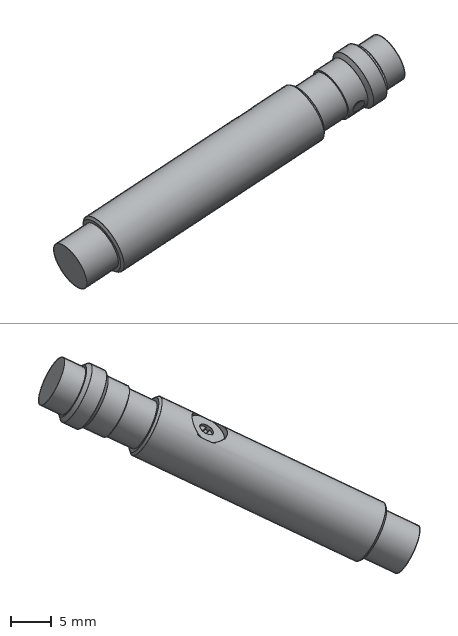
import cadquery as cq

LENGTH = 49.9
END_Y = LENGTH / 2
CORE_DIAMETER = 6.5
OUTER_DIAMETER = 8.0
OUTER_RADIUS = OUTER_DIAMETER / 2

BODY_START_Y = -END_Y + 4.95
BODY_LENGTH = 32.0
BODY_CHAMFER = 0.3

COLLAR_END_Y = END_Y - 2.95
COLLAR_LENGTH = 3.05
COLLAR_CHAMFER = 0.5
SLEEVE_DIAMETER = 7.0
SLEEVE_START_Y = END_Y - 9.0

BUTTON_DIAMETER = 1.8
BUTTON_Y = END_Y - 7.45
BUTTON_HEIGHT = 0.25

POCKET_Y = END_Y - 19.95
POCKET_DIAMETER = 5.0
POCKET_DEPTH = 0.8
POCKET_FLOOR_X = -OUTER_RADIUS + POCKET_DEPTH
SCREW_HOLE_DIAMETER = 1.9
SCREW_RECESS = 0.3
SCREW_FACE_X = POCKET_FLOOR_X + SCREW_RECESS
SLOT_WIDTH = 0.5
SLOT_DEPTH = 0.3
SLOT_TILT = 23.0


def cylinder_along_y(diameter, start_y, end_y):
    """Solid round bar on the Y axis between two Y positions."""
    return (
        cq.Workplane("XZ", origin=(0, start_y, 0))
        .circle(diameter / 2)
        .extrude(start_y - end_y)
    )


def cylinder_along_x(diameter, start_x, depth, y):
    """Solid round bar running from start_x toward +X at the given Y."""
    return cq.Workplane("YZ", origin=(start_x, y, 0)).circle(diameter / 2).extrude(depth)


def make_shaft():
    core = cylinder_along_y(CORE_DIAMETER, -END_Y, END_Y)
    body = cylinder_along_y(OUTER_DIAMETER, BODY_START_Y, BODY_START_Y + BODY_LENGTH)
    body = body.edges().chamfer(BODY_CHAMFER)
    collar = cylinder_along_y(OUTER_DIAMETER, COLLAR_END_Y - COLLAR_LENGTH, COLLAR_END_Y)
    collar = collar.edges().chamfer(COLLAR_CHAMFER)
    sleeve = cylinder_along_y(SLEEVE_DIAMETER, SLEEVE_START_Y, COLLAR_END_Y - COLLAR_CHAMFER)
    return core.union(body).union(collar).union(sleeve)


def make_button():
    base_x = SLEEVE_DIAMETER / 2 - BUTTON_HEIGHT
    return cylinder_along_x(BUTTON_DIAMETER, base_x, BUTTON_HEIGHT, BUTTON_Y)


def make_screw_pocket():
    """Pocket, the recess down to the screw head, and the tilted screwdriver slot."""
    pocket = cylinder_along_x(POCKET_DIAMETER, -OUTER_RADIUS, POCKET_DEPTH, POCKET_Y)
    recess = cylinder_along_x(SCREW_HOLE_DIAMETER, POCKET_FLOOR_X, SCREW_RECESS, POCKET_Y)
    slot = (
        cq.Workplane("YZ", origin=(SCREW_FACE_X, POCKET_Y, 0))
        .transformed(rotate=(0, 0, SLOT_TILT))
        .rect(SLOT_WIDTH, SCREW_HOLE_DIAMETER)
        .extrude(SLOT_DEPTH)
    )
    slot_limit = cylinder_along_x(SCREW_HOLE_DIAMETER, SCREW_FACE_X, SLOT_DEPTH, POCKET_Y)
    return pocket.union(recess).union(slot.intersect(slot_limit))


result = make_shaft().union(make_button()).cut(make_screw_pocket())